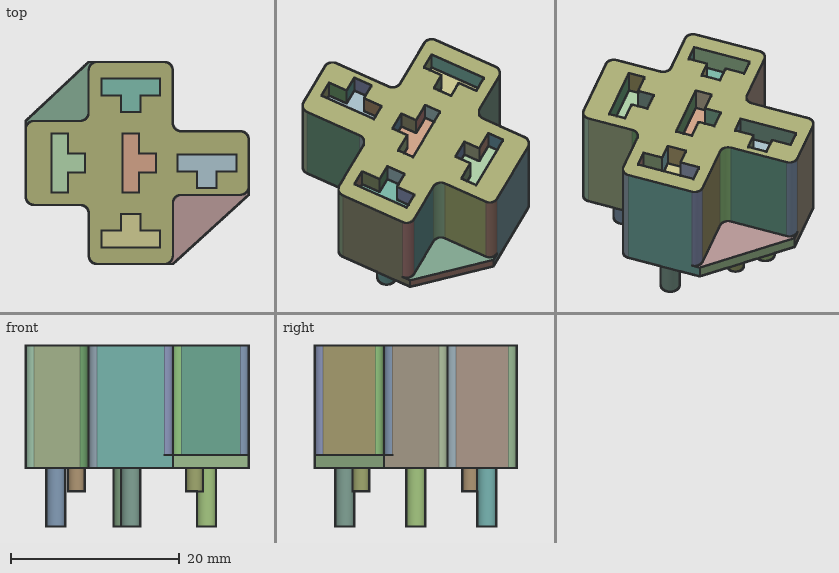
import cadquery as cq

body_height = 14.55
left_end = -12.48
length = 26.5
right_end = left_end + length
arm_width = 10.0
right_arm_width = 7.55
depth = 24.0
corner_radius = 1.0

web_thickness = 1.56

slot_depth = 3.05
slot_bar_length = 7.0
slot_bar_width = 2.0
slot_stem_width = 2.3
slot_stem_length = 2.0

pin_diameter = 2.3
pin_length = 6.95
peg_diameter = 2.01
peg_length = 2.78

left_socket_x = -8.43
right_socket_x = 9.04
socket_y = 9.0
left_pin_x = -8.9
center_pin_x = -0.9
right_pin_x = 8.98
outer_pin_y = 8.43

sockets = [
    (left_socket_x, 0, 0),
    (0, 0, 0),
    (right_socket_x, 0, -90),
    (0, socket_y, -90),
    (0, -socket_y, 90),
]
pin_points = [
    (left_pin_x, 0),
    (center_pin_x, 0),
    (right_pin_x, 0),
    (0, outer_pin_y),
    (0, -outer_pin_y),
]
peg_points = [(-6.47, 6.52), (7.55, -6.52)]


def cross_body():
    """Upright cross with a narrower right arm and rounded vertical edges."""
    column = cq.Workplane("XY").box(arm_width, depth, body_height, centered=(True, True, False))
    left_arm = cq.Workplane("XY").box(-left_end, arm_width, body_height, centered=(False, True, False))
    right_arm = cq.Workplane("XY").box(right_end, right_arm_width, body_height, centered=(False, True, False))
    cross = column.union(left_arm.translate((left_end, 0, 0))).union(right_arm)
    return cross.edges("|Z").fillet(corner_radius)


def corner_web(arm_end, arm_half_width, side):
    """Flat plate joining an X arm to the end of the Y arm on the given side."""
    inner_x = arm_width / 2 if arm_end > 0 else -arm_width / 2
    outline = [
        (0, 0),
        (arm_end, 0),
        (arm_end, side * arm_half_width),
        (inner_x, side * depth / 2),
        (0, side * depth / 2),
    ]
    return cq.Workplane("XY").polyline(outline).close().extrude(web_thickness)


def socket_cutter(x, y, stem_angle):
    """T-shaped pocket open at the top of the body."""
    bar = cq.Workplane("XY").box(slot_bar_width, slot_bar_length, slot_depth, centered=(True, True, False))
    stem_reach = slot_bar_width / 2 + slot_stem_length
    stem = cq.Workplane("XY").box(stem_reach, slot_stem_width, slot_depth, centered=(False, True, False))
    cutter = bar.union(stem).rotate((0, 0, 0), (0, 0, 1), stem_angle)
    return cutter.translate((x, y, body_height - slot_depth))


def posts(points, diameter, post_length):
    """Round posts hanging from the underside."""
    return cq.Workplane("XY").pushPoints(points).circle(diameter / 2).extrude(-post_length)


result = cross_body()
result = result.union(corner_web(left_end, arm_width / 2, 1))
result = result.union(corner_web(right_end, right_arm_width / 2, -1))
for x, y, stem_angle in sockets:
    result = result.cut(socket_cutter(x, y, stem_angle))
result = result.union(posts(pin_points, pin_diameter, pin_length))
result = result.union(posts(peg_points, peg_diameter, peg_length))